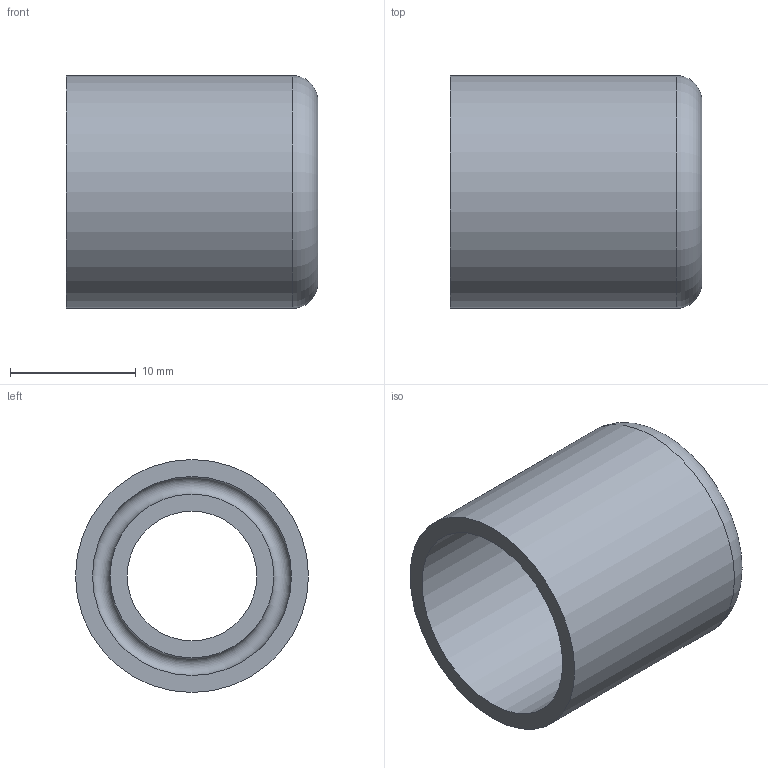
import cadquery as cq

length = 20.0
outer_diameter = 18.5
sleeve_bore_diameter = 15.8
lip_outer_diameter = 13.0

wall = (outer_diameter - sleeve_bore_diameter) / 2
outer_radius = outer_diameter / 2
sleeve_bore_radius = sleeve_bore_diameter / 2
lip_outer_radius = lip_outer_diameter / 2
lip_bore_radius = lip_outer_radius - wall

roll_inner_radius = (sleeve_bore_radius - lip_outer_radius) / 2
roll_outer_radius = roll_inner_radius + wall
roll_center_radius = lip_outer_radius + roll_inner_radius
roll_start = length - roll_outer_radius


def rolled_sleeve():
    """Revolve the hook-shaped wall section about the X axis."""
    section = (
        cq.Workplane("XY")
        .moveTo(0, sleeve_bore_radius)
        .lineTo(0, outer_radius)
        .lineTo(roll_start, outer_radius)
        .threePointArc((length, roll_center_radius), (roll_start, lip_bore_radius))
        .lineTo(roll_start, lip_outer_radius)
        .threePointArc(
            (roll_start + roll_inner_radius, roll_center_radius),
            (roll_start, sleeve_bore_radius),
        )
        .close()
    )
    return section.revolve(360, (0, 0, 0), (1, 0, 0))


result = rolled_sleeve().translate((-length / 2, 0, 0))